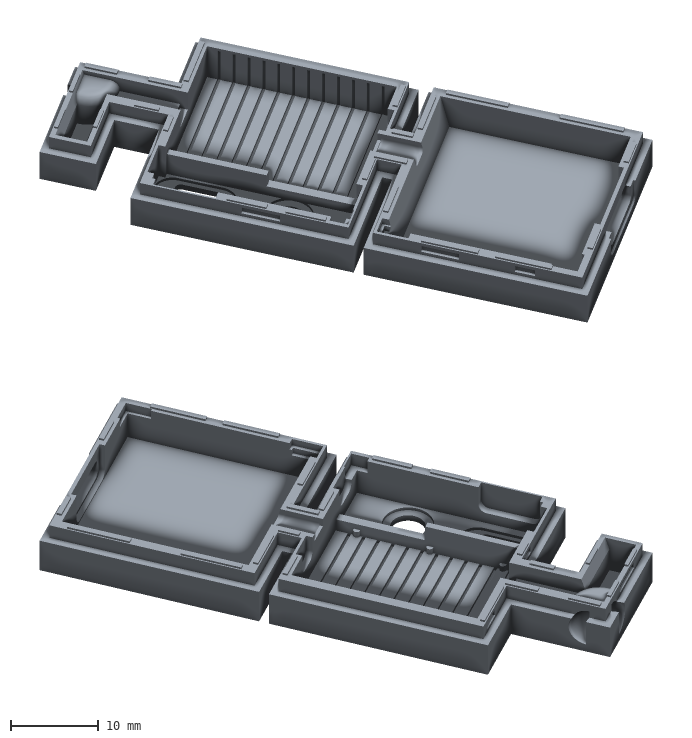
import cadquery as cq

LENGTH = 66.5
DEPTH = 25.9
HEIGHT = 6.5
LEDGE_Z = 4.4
RIM_Z = 6.25
WALL = 2.0
LIP_INSET = 0.85
CUT_CLEARANCE = 0.65
top_z = HEIGHT + CUT_CLEARANCE

FOOT_RIGHT = 6.7
FOOT_FRONT = 4.05
TRAY_LEFT = 12.0
TRAY_RIGHT = 38.6
BIN_LEFT = 39.8
ARM_FRONT = 11.35
ARM_BACK = 18.2

FLOOR_Z = 1.5
TRAY_FLOOR_Z = 1.2
ARM_FLOOR_Z = 4.1
SILL_Z = 3.45
SILL_X = 13.1
NECK_FLOOR_Z = 5.0


def box(x0, x1, y0, y1, z0, z1):
    """Axis-aligned block given by its limits."""
    size = (x1 - x0, y1 - y0, z1 - z0)
    return cq.Workplane("XY").box(*size, centered=False).translate((x0, y0, z0))


def cut_box(x0, x1, y0, y1, z0):
    """Cutter block from z0 up through the top of the part."""
    return box(x0, x1, y0, y1, z0, top_z)


def plan(inset, z0, z1):
    """Whole plan outline, offset inwards by inset, as one prism."""
    foot = box(inset, FOOT_RIGHT - inset, FOOT_FRONT + inset, ARM_BACK - inset, z0, z1)
    band = box(inset, LENGTH - inset, ARM_FRONT + inset, ARM_BACK - inset, z0, z1)
    tray = box(TRAY_LEFT + inset, TRAY_RIGHT - inset, inset, DEPTH - inset, z0, z1)
    plain = box(BIN_LEFT + inset, LENGTH - inset, inset, DEPTH - inset, z0, z1)
    return foot.union(band).union(tray).union(plain)


body = plan(0, 0, LEDGE_Z).union(plan(LIP_INSET, 0, RIM_Z))

PAD_SETBACK = 0.1
PAD_WIDTH = 0.6
PAD_NEAR = LIP_INSET + PAD_SETBACK
PAD_FAR = PAD_NEAR + PAD_WIDTH


def pads_along_x(edge_y, inward, stretches):
    """Pads beside an outer edge at edge_y, each spanning a stretch of X."""
    y0, y1 = sorted((edge_y + inward * PAD_NEAR, edge_y + inward * PAD_FAR))
    for x0, x1 in stretches:
        yield box(x0, x1, y0, y1, LEDGE_Z, HEIGHT)


def pads_along_y(edge_x, inward, stretches):
    """Pads beside an outer edge at edge_x, each spanning a stretch of Y."""
    x0, x1 = sorted((edge_x + inward * PAD_NEAR, edge_x + inward * PAD_FAR))
    for y0, y1 in stretches:
        yield box(x0, x1, y0, y1, LEDGE_Z, HEIGHT)


pads = [
    *pads_along_x(0, 1, [(23.2, 27.9), (30.2, 34.95), (46.3, 53.1), (55.2, 61.9)]),
    *pads_along_x(DEPTH, -1, [(42.35, 49.7), (55.9, 63.5)]),
    *pads_along_x(ARM_FRONT, 1, [(8.8, 11.7), (37.35, 41.2)]),
    *pads_along_x(ARM_BACK, -1, [(1.6, 5.45), (9.2, 13.1), (38.15, 40.7)]),
    *pads_along_y(0, 1, [(6.45, 9.45), (12.4, 15.2)]),
    *pads_along_y(FOOT_RIGHT, -1, [(7.8, 10.65)]),
    *pads_along_y(TRAY_LEFT, 1, [(9.6, 11.75), (17.8, 24.25)]),
    *pads_along_y(TRAY_RIGHT, -1, [(8.65, 12.0), (20.8, 24.2)]),
    *pads_along_y(BIN_LEFT, 1, [(4.4, 8.65), (18.15, 23.5)]),
    *pads_along_y(LENGTH, -1, [(5.45, 8.85), (19.8, 23.0)]),
]
for pad in pads:
    body = body.union(pad)

FOOT_WALL_TOP = 1.45
FOOT_FLARE_Z = 4.65
FOOT_END_WALL = 1.4

foot_section = [
    (WALL, FLOOR_Z), (WALL, FOOT_FLARE_Z), (FOOT_WALL_TOP, RIM_Z), (FOOT_WALL_TOP, top_z),
    (FOOT_RIGHT - FOOT_WALL_TOP, top_z), (FOOT_RIGHT - FOOT_WALL_TOP, RIM_Z),
    (FOOT_RIGHT - WALL, FOOT_FLARE_Z), (FOOT_RIGHT - WALL, FLOOR_Z),
]
foot_back = ARM_BACK - WALL
foot_front = FOOT_FRONT + FOOT_END_WALL
foot_cavity = (
    cq.Workplane("XZ", origin=(0, foot_back, 0))
    .polyline(foot_section).close().extrude(foot_back - foot_front)
)
arm_front_inner = ARM_FRONT + WALL
arm_cavity = cut_box(FOOT_RIGHT - WALL, SILL_X, arm_front_inner, foot_back, ARM_FLOOR_Z)
sill_cavity = cut_box(SILL_X, TRAY_LEFT + WALL, arm_front_inner, foot_back, SILL_Z)

HOUSING_CENTRE = (2.1, 16.1)
HOUSING_RADIUS = 3.8
HOUSING_TOP = 5.6
HOUSING_ROUND = 1.2
housing = (
    cq.Workplane("XY").center(*HOUSING_CENTRE).circle(HOUSING_RADIUS).extrude(HOUSING_TOP)
    .faces(">Z").edges().fillet(HOUSING_ROUND)
)
body = body.cut(foot_cavity.union(arm_cavity).cut(housing)).cut(sill_cavity)

TUNNEL_INNER = 2.9
TUNNEL_HALF_HEIGHT = 2.1
TUNNEL_Z = 3.2
tunnel = (
    cq.Workplane("XZ", origin=(0, ARM_BACK, 0))
    .moveTo(TUNNEL_INNER, TUNNEL_Z - TUNNEL_HALF_HEIGHT)
    .threePointArc(
        (TUNNEL_INNER + TUNNEL_HALF_HEIGHT, TUNNEL_Z),
        (TUNNEL_INNER, TUNNEL_Z + TUNNEL_HALF_HEIGHT),
    )
    .close()
    .revolve(360, (0, 0, 0), (0, 1, 0))
)
body = body.cut(tunnel)

tray_x0 = TRAY_LEFT + WALL
tray_x1 = TRAY_RIGHT - WALL
DIVIDER_FRONT = 7.85
DIVIDER_BACK = 9.1
DIVIDER_STEP_X = 25.9
DIVIDER_TALL_Z = 4.45
DIVIDER_LOW_Z = 2.65
DIVIDER_DRAFT = 0.15

body = body.cut(cut_box(tray_x0, tray_x1, WALL, DEPTH - WALL, TRAY_FLOOR_Z))


def divider(x0, x1, top):
    """Length of divider whose back face leans forward from the floor up."""
    section = [
        (DIVIDER_FRONT, 0), (DIVIDER_BACK, 0), (DIVIDER_BACK, TRAY_FLOOR_Z),
        (DIVIDER_BACK - DIVIDER_DRAFT * (top - TRAY_FLOOR_Z), top), (DIVIDER_FRONT, top),
    ]
    return cq.Workplane("YZ", origin=(x0, 0, 0)).polyline(section).close().extrude(x1 - x0)


body = body.union(divider(tray_x0, DIVIDER_STEP_X, DIVIDER_TALL_Z))
body = body.union(divider(DIVIDER_STEP_X, tray_x1, DIVIDER_LOW_Z))

GROOVE_COUNT = 12
GROOVE_FIRST_X = 15.4
GROOVE_LAST_X = 34.95
GROOVE_PITCH = (GROOVE_LAST_X - GROOVE_FIRST_X) / (GROOVE_COUNT - 1)
GROOVE_WIDTH = 0.4
GROOVE_DEPTH = 0.4
GROOVE_TOP_Z = 5.85
for i in range(GROOVE_COUNT):
    x0 = GROOVE_FIRST_X + i * GROOVE_PITCH - GROOVE_WIDTH / 2
    body = body.cut(box(
        x0, x0 + GROOVE_WIDTH,
        DIVIDER_BACK, DEPTH - WALL + GROOVE_DEPTH,
        TRAY_FLOOR_Z - GROOVE_DEPTH, GROOVE_TOP_Z,
    ))

STUD_COUNT = 3
GROOVES_PER_STUD = 5
STUD_RADIUS = 0.4
STUD_TOP_Z = 2.0
for i in range(STUD_COUNT):
    x = GROOVE_FIRST_X + (0.5 + GROOVES_PER_STUD * i) * GROOVE_PITCH
    stud = cq.Workplane("XY").center(x, DIVIDER_BACK).circle(STUD_RADIUS).extrude(STUD_TOP_Z)
    body = body.union(stud)

RECESS_Z = 0.8
HOLE_DIAMETER = 4.1
HOLE_RECESS_DIAMETER = 6.0
HOLE_CENTRE = (29.25, 5.25)
WINDOW_CENTRE = (18.15, 5.25)
WINDOW_SIZE = (5.45, 3.65)
WINDOW_CORNER = 0.65
SLOT_RECESS_SIZE = (10.0, 4.65)
SOCKET_X = 13.2
SOCKET_FRONT = 2.8
SOCKET_BACK = 7.25

hole = cq.Workplane("XY").center(*HOLE_CENTRE).circle(HOLE_DIAMETER / 2).extrude(top_z)
hole_recess = (
    cq.Workplane("XY", origin=(0, 0, RECESS_Z)).center(*HOLE_CENTRE)
    .circle(HOLE_RECESS_DIAMETER / 2).extrude(TRAY_FLOOR_Z - RECESS_Z)
)
window = (
    cq.Workplane("XY").center(*WINDOW_CENTRE).rect(*WINDOW_SIZE).extrude(top_z)
    .edges("|Z").fillet(WINDOW_CORNER)
)
slot_recess = (
    cq.Workplane("XY", origin=(0, 0, RECESS_Z)).center(*WINDOW_CENTRE)
    .slot2D(*SLOT_RECESS_SIZE).extrude(TRAY_FLOOR_Z - RECESS_Z)
)
socket = cut_box(SOCKET_X, tray_x0, SOCKET_FRONT, SOCKET_BACK, TRAY_FLOOR_Z)
for cutter in (hole, hole_recess, window, slot_recess, socket):
    body = body.cut(cutter)

bin_x0 = BIN_LEFT + WALL
bin_x1 = LENGTH - WALL
BIN_SLOPE_RUN = 1.05
bin_section = [
    (bin_x0, top_z), (bin_x0, RIM_Z), (bin_x0 + BIN_SLOPE_RUN, FLOOR_Z),
    (bin_x1, FLOOR_Z), (bin_x1, top_z),
]
bin_cavity = (
    cq.Workplane("XZ", origin=(0, DEPTH - WALL, 0)).polyline(bin_section).close().extrude(DEPTH - 2 * WALL)
)
body = body.cut(bin_cavity)

NECK_ROUND = 0.6
NECK_SILL_WIDTH = 0.4
NECK_SILL_HEIGHT = 0.2
neck_x0 = tray_x1 + NECK_SILL_WIDTH
neck = (
    cut_box(neck_x0, bin_x0 + BIN_SLOPE_RUN, arm_front_inner, foot_back, NECK_FLOOR_Z)
    .edges("|X and <Z").fillet(NECK_ROUND)
)
neck_entry = cut_box(tray_x1, neck_x0, arm_front_inner, foot_back, NECK_FLOOR_Z + NECK_SILL_HEIGHT)
body = body.cut(neck).cut(neck_entry)

RECESS_CORNER = 1.0


def wall_recess(x0, x1, y0, y1, z0):
    """Cutter open at the top, with round lower corners across the wall."""
    return cut_box(x0, x1, y0, y1, z0).edges("|X and <Z").fillet(RECESS_CORNER)


TRAY_RECESS_DEPTH = 0.8
TRAY_RECESS_Z = 3.3
for y0, y1 in [(3.8, 7.8), (16.8, 20.3)]:
    body = body.cut(wall_recess(tray_x1, tray_x1 + TRAY_RECESS_DEPTH, y0, y1, TRAY_RECESS_Z))

FRONT_RECESS_X = (14.4, 21.9)
FRONT_RECESS_Y = 1.05
FRONT_RECESS_Z = 2.65
front_recess = (
    cut_box(*FRONT_RECESS_X, FRONT_RECESS_Y, WALL, FRONT_RECESS_Z)
    .edges("|Y and <Z").fillet(RECESS_CORNER)
)
body = body.cut(front_recess)

PORT_Y = 14.3
PORT_WIDTH = 8.1
PORT_Z0 = 2.05
PORT_Z1 = 4.6
PORT_CORNER = 0.8
PORT_INNER_WIDTH = 9.45
PORT_INNER_DEPTH = 0.65
PORT_INNER_Z = 1.7
PORT_OUTER_WIDTH = 9.7
PORT_OUTER_DEPTH = 0.25
PORT_BORDER = (PORT_OUTER_WIDTH - PORT_WIDTH) / 2


def port_block(x0, x1, width, z0, z1):
    """Round-cornered block centred on the port."""
    return (
        box(x0, x1, PORT_Y - width / 2, PORT_Y + width / 2, z0, z1)
        .edges("|X").fillet(PORT_CORNER)
    )


port = port_block(bin_x1, LENGTH, PORT_WIDTH, PORT_Z0, PORT_Z1)
port_inner = wall_recess(
    bin_x1, bin_x1 + PORT_INNER_DEPTH,
    PORT_Y - PORT_INNER_WIDTH / 2, PORT_Y + PORT_INNER_WIDTH / 2, PORT_INNER_Z,
)
port_outer = port_block(
    LENGTH - PORT_OUTER_DEPTH, LENGTH, PORT_OUTER_WIDTH, PORT_Z0 - PORT_BORDER, LEDGE_Z + CUT_CLEARANCE
)
for cutter in (port, port_inner, port_outer):
    body = body.cut(cutter)

CORNER_RELIEF_Z = 4.5
STEP_RELIEF_Z = 5.3
RIGHT_RELIEF_Z = 5.05
RELIEF_REACH = 0.25
reliefs = [
    (41.0, 44.8, 1.2, WALL, STEP_RELIEF_Z),
    (41.0, bin_x0 + RELIEF_REACH, 1.2, 3.4, STEP_RELIEF_Z),
    (41.35, 44.55, 1.6, WALL, CORNER_RELIEF_Z),
    (41.35, bin_x0 + RELIEF_REACH, 1.6, 3.2, CORNER_RELIEF_Z),
    (61.6, 64.8, 1.65, WALL, RIGHT_RELIEF_Z),
    (bin_x1, 64.8, 1.65, 4.45, RIGHT_RELIEF_Z),
    (35.35, 37.55, 1.3, WALL, CORNER_RELIEF_Z),
    (tray_x1, 37.55, 1.3, 3.8, CORNER_RELIEF_Z),
]
for relief in reliefs:
    body = body.cut(cut_box(*relief))

REAR_LATCH_Y = (21.15, 23.7)
LATCH_Z0 = 4.85
LATCH_Z1 = 5.8
LATCH_DEPTH = 0.3
for x0, x1 in [(25.0, 29.6), (46.4, 50.9), (57.55, 59.95)]:
    body = body.cut(box(x0, x1, LIP_INSET, LIP_INSET + LATCH_DEPTH, LATCH_Z0, LATCH_Z1))
for edge_x, y0, y1 in [(0, 7.8, 12.55), (TRAY_LEFT, 9.2, 10.9), (TRAY_LEFT, *REAR_LATCH_Y)]:
    face_x = edge_x + LIP_INSET
    body = body.cut(box(face_x, face_x + LATCH_DEPTH, y0, y1, LATCH_Z0, LATCH_Z1))

LATCH_MID_Z = (LATCH_Z0 + LATCH_Z1) / 2
rear_latch_x = TRAY_LEFT + LIP_INSET
body = body.cut(box(rear_latch_x, rear_latch_x + 2 * LATCH_DEPTH, *REAR_LATCH_Y, LATCH_Z0, LATCH_MID_Z))

result = body